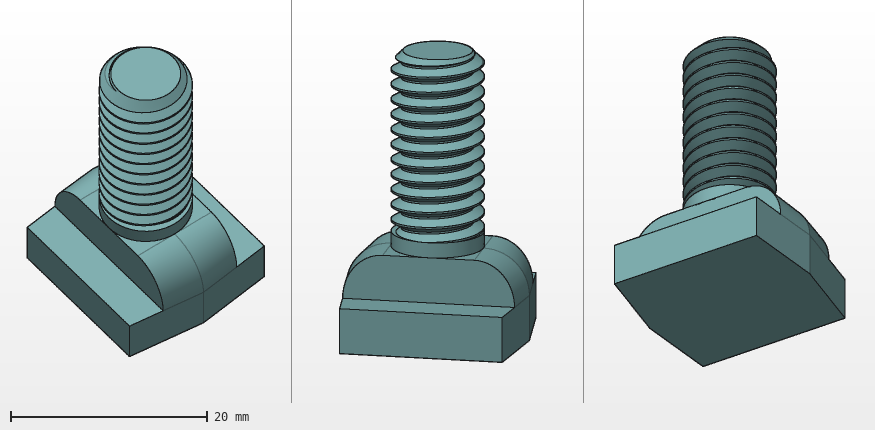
import cadquery as cq
import math

INCH = 25.4
head_length = 0.75 * INCH
head_width = 11 / 16 * INCH
head_height = 3 / 16 * INCH
head_end_angle = 7.0
stud_diameter = 3 / 8 * INCH
neck_height = 3 / 16 * INCH
collar_height = 1 / 16 * INCH
thread_length = 0.75 * INCH
pitch = INCH / 16
crest_flat = pitch / 8
root_flat = pitch / 8
flank_angle = 30.0
tip_chamfer = 1.2
first_crest_rise = 1.13
ridge_overlap = 0.05
envelope_margin = 1.0

stud_radius = stud_diameter / 2
neck_width = stud_diameter
neck_bottom = head_height
neck_top = neck_bottom + neck_height
thread_bottom = neck_top + collar_height
flank_slope = math.tan(math.radians(flank_angle))
thread_depth = (pitch - crest_flat - root_flat) / 2 / flank_slope
root_radius = stud_radius - thread_depth


def half_length_at(y):
    """Half the head length at distance y from the middle plane."""
    return head_length / 2 - abs(y) * math.tan(math.radians(head_end_angle))


def make_head():
    """Rectangular head whose two ends come to a shallow ridge in the middle."""
    middle = half_length_at(0)
    side = head_width / 2
    corner = half_length_at(side)
    outline = [
        (middle, 0),
        (corner, side),
        (-corner, side),
        (-middle, 0),
        (-corner, -side),
        (corner, -side),
    ]
    return cq.Workplane("XY").polyline(outline).close().extrude(head_height)


def neck_section(y):
    """Neck cross-section at y: flat top with a quarter ellipse down to each end."""
    half_length = half_length_at(y)
    end_run = half_length - stud_radius
    outline = (
        cq.Workplane("XZ", origin=(0, y, neck_bottom))
        .moveTo(-half_length, 0)
        .lineTo(half_length, 0)
        .ellipseArc(end_run, neck_height, 0, 90, startAtCurrent=True, sense=1)
        .lineTo(-stud_radius, neck_height)
        .ellipseArc(end_run, neck_height, 90, 180, startAtCurrent=True, sense=1)
        .close()
    )
    return outline.val()


def make_neck():
    """Neck with rounded ends that follow the tapered ends of the head."""
    halves = [
        cq.Solid.makeLoft([neck_section(0), neck_section(side * neck_width / 2)], True)
        for side in (1, -1)
    ]
    return cq.Workplane(halves[0]).union(cq.Workplane(halves[1]))


def make_thread_ridge():
    """Right-handed helical ridge running past both ends of the thread, sunk a little into the core."""
    start = thread_bottom + first_crest_rise - 2 * pitch
    ridge_length = thread_length + 4 * pitch
    inner_radius = root_radius - ridge_overlap
    half_crest = crest_flat / 2
    half_base = half_crest + (stud_radius - inner_radius) * flank_slope
    path = cq.Wire.makeHelix(pitch, ridge_length, root_radius).translate(cq.Vector(0, 0, start))
    profile = [
        (inner_radius, start - half_base),
        (stud_radius, start - half_crest),
        (stud_radius, start + half_crest),
        (inner_radius, start + half_base),
    ]
    return cq.Workplane("XZ").polyline(profile).close().sweep(cq.Workplane(path), isFrenet=True)


def make_thread():
    """Threaded core and ridge, trimmed flat at the collar and chamfered at the tip."""
    core = (
        cq.Workplane("XY")
        .workplane(offset=thread_bottom - pitch)
        .circle(root_radius)
        .extrude(thread_length + 2 * pitch)
    )
    trim_envelope = (
        cq.Workplane("XY")
        .workplane(offset=thread_bottom)
        .circle(stud_radius + envelope_margin)
        .extrude(thread_length)
        .faces(">Z")
        .chamfer(tip_chamfer + envelope_margin)
    )
    return core.union(make_thread_ridge()).intersect(trim_envelope)


def make_collar():
    """Plain full-diameter collar between the neck and the thread."""
    return cq.Workplane("XY").workplane(offset=neck_top).circle(stud_radius).extrude(collar_height)


result = make_head().union(make_neck()).union(make_collar()).union(make_thread())